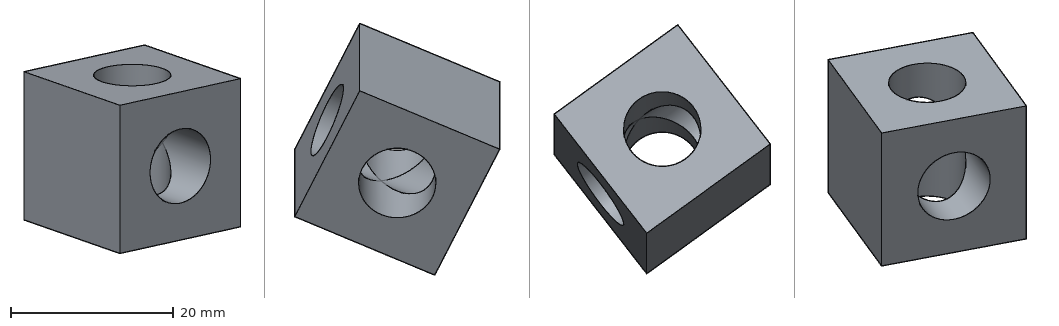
import cadquery as cq

cube_side = 19.05
bore_diameter = 9.52


def through_bore(plane):
    """Cylinder through the cube centre, along the normal of the given plane."""
    return cq.Workplane(plane).circle(bore_diameter / 2).extrude(cube_side / 2, both=True)


cube = cq.Workplane("XY").box(cube_side, cube_side, cube_side)

result = cube
for bore_plane in ("XY", "YZ"):
    result = result.cut(through_bore(bore_plane))